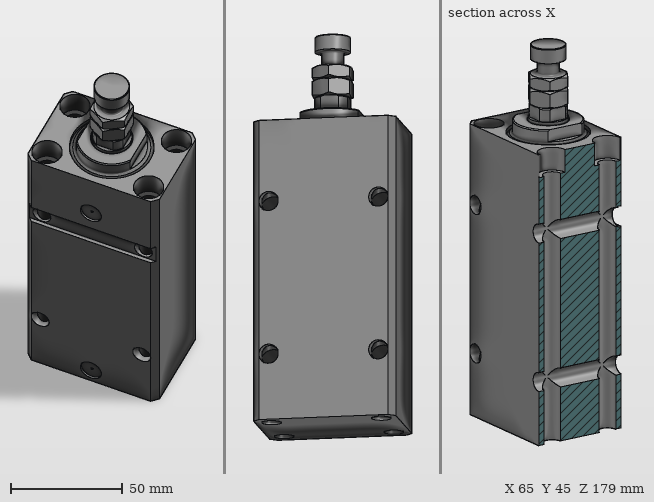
import cadquery as cq
import math

HOUSING_X = 65.0
HOUSING_Y = 45.0
HOUSING_Z = 137.5
CORNER_CHAMFER = 3.0
FRONT_Y = -HOUSING_Y / 2

HOLE_DIA = 8.8
HOLE_PITCH_X = 50.1
HOLE_PITCH_Y = 30.0
COUNTERBORE_DIA = 13.6
COUNTERBORE_DEPTH = 10.7
LOWER_CROSS_HOLE_Z = 30.0
UPPER_CROSS_HOLE_Z = 100.2

SLOT_HEIGHT = 9.7
SLOT_DEPTH = 1.8

PORT_LEVELS = (7.2, 115.3)
PORT_DIA = 10.4
PORT_DEPTH = 1.0
ORIFICE_DIA = 1.0
ORIFICE_DEPTH = 7.2

RECESS_DEPTH = 10.7
RECESS_FLOOR = HOUSING_Z - RECESS_DEPTH
SHOULDER_DIA = 38.0
SHOULDER_CHAMFER = 1.5
SHOULDER_TOP = HOUSING_Z - 0.4
GLAND_DIA = 32.2
GLAND_ROOT_FILLET = 0.5
GLAND_EDGE_CHAMFER = 0.5
GLAND_TOP = 143.5
GLAND_FLATS = 26.5
GLAND_FLATS_BOTTOM = HOUSING_Z + 0.5
BORE_EDGE_CHAMFER = 0.45

ROD_DIA = 18.3
SHAFT_TOP = 144.8
SQUARE_FLATS = 15.0
SQUARE_CORNER_DIA = 17.2
SQUARE_EDGE_CHAMFER = 0.5
ROD_TOP = 151.0

STUD_DIA = 10.0
STUD_BOTTOM = ROD_TOP - STUD_DIA
HEX_FLATS = 17.0
HEX_CORNERS = HEX_FLATS / math.cos(math.pi / 6)
HEX_FACE_DIA = 16.1
HEX_CHAMFER_ANGLE = 30
LOWER_HEX_TOP = ROD_TOP + 8.0
UPPER_HEX_TOP = LOWER_HEX_TOP + 6.0
NECK_FILLET = 1.0
HEAD_DIA = 16.1
HEAD_BOTTOM = 172.2
HEAD_EDGE_CHAMFER = 0.4
STUD_TOP = 179.0


def cylinder(dia, bottom, top):
    return cq.Workplane("XY", origin=(0, 0, bottom)).circle(dia / 2).extrude(top - bottom)


def block(size_x, size_y, bottom, top):
    return cq.Workplane("XY", origin=(0, 0, bottom)).rect(size_x, size_y).extrude(top - bottom)


def turn(profile):
    """Close a profile drawn in the XZ plane and revolve it about the Z axis."""
    return profile.close().revolve(360, (0, 0, 0), (0, 1, 0))


def front_hole(x, z, dia, depth):
    """Drill that enters the front face at (x, z) and runs toward +Y."""
    return cq.Workplane("XZ", origin=(x, FRONT_Y, z)).circle(dia / 2).extrude(-depth)


def make_housing():
    body = block(HOUSING_X, HOUSING_Y, 0, HOUSING_Z).edges("|Z").chamfer(CORNER_CHAMFER)

    body = (
        body.faces(">Z")
        .workplane(origin=(0, 0, HOUSING_Z))
        .rarray(HOLE_PITCH_X, HOLE_PITCH_Y, 2, 2)
        .cboreHole(HOLE_DIA, COUNTERBORE_DIA, COUNTERBORE_DEPTH)
    )

    for z in (LOWER_CROSS_HOLE_Z, UPPER_CROSS_HOLE_Z):
        for x in (-HOLE_PITCH_X / 2, HOLE_PITCH_X / 2):
            body = body.cut(front_hole(x, z, HOLE_DIA, HOUSING_Y))

    slot = cq.Workplane("XY").box(HOUSING_X, 2 * SLOT_DEPTH, SLOT_HEIGHT)
    body = body.cut(slot.translate((0, FRONT_Y, UPPER_CROSS_HOLE_Z)))

    for z in PORT_LEVELS:
        body = body.cut(front_hole(0, z, PORT_DIA, PORT_DEPTH))
        body = body.cut(front_hole(0, z, ORIFICE_DIA, ORIFICE_DEPTH))

    return body.cut(cylinder(SHOULDER_DIA, RECESS_FLOOR, HOUSING_Z))


def make_gland():
    shoulder_radius = SHOULDER_DIA / 2
    outer_radius = GLAND_DIA / 2
    bore_radius = ROD_DIA / 2
    ring = turn(
        cq.Workplane("XZ")
        .moveTo(bore_radius, RECESS_FLOOR)
        .lineTo(shoulder_radius, RECESS_FLOOR)
        .lineTo(shoulder_radius, SHOULDER_TOP - SHOULDER_CHAMFER)
        .lineTo(shoulder_radius - SHOULDER_CHAMFER, SHOULDER_TOP)
        .lineTo(outer_radius + GLAND_ROOT_FILLET, SHOULDER_TOP)
        .radiusArc((outer_radius, SHOULDER_TOP + GLAND_ROOT_FILLET), GLAND_ROOT_FILLET)
        .lineTo(outer_radius, GLAND_TOP - GLAND_EDGE_CHAMFER)
        .lineTo(outer_radius - GLAND_EDGE_CHAMFER, GLAND_TOP)
        .lineTo(bore_radius + BORE_EDGE_CHAMFER, GLAND_TOP)
        .lineTo(bore_radius, GLAND_TOP - BORE_EDGE_CHAMFER)
    )
    around = block(SHOULDER_DIA, SHOULDER_DIA, GLAND_FLATS_BOTTOM, GLAND_TOP)
    between = block(GLAND_FLATS, SHOULDER_DIA, GLAND_FLATS_BOTTOM, GLAND_TOP)
    return ring.cut(around.cut(between))


def make_rod():
    shaft = cylinder(ROD_DIA, RECESS_FLOOR, SHAFT_TOP)
    turned = cylinder(SQUARE_CORNER_DIA, SHAFT_TOP, ROD_TOP).faces(">Z").chamfer(SQUARE_EDGE_CHAMFER)
    square = block(SQUARE_FLATS, SQUARE_FLATS, SHAFT_TOP, ROD_TOP).intersect(turned)
    return shaft.union(square).cut(cylinder(STUD_DIA, STUD_BOTTOM, ROD_TOP))


def hexagon(bottom, top):
    """Hexagon with flats facing +X and -X, and both ends chamfered by a cone."""
    prism = (
        cq.Workplane("XY", origin=(0, 0, bottom))
        .transformed(rotate=(0, 0, 90))
        .polygon(6, HEX_CORNERS)
        .extrude(top - bottom)
    )
    face_radius = HEX_FACE_DIA / 2
    corner_radius = HEX_CORNERS / 2
    chamfer_height = (corner_radius - face_radius) * math.tan(math.radians(HEX_CHAMFER_ANGLE))
    turned = turn(
        cq.Workplane("XZ")
        .moveTo(0, bottom)
        .lineTo(face_radius, bottom)
        .lineTo(corner_radius, bottom + chamfer_height)
        .lineTo(corner_radius, top - chamfer_height)
        .lineTo(face_radius, top)
        .lineTo(0, top)
    )
    return prism.intersect(turned)


def make_stud():
    """Stud with a filleted neck; its lower hexagon rests on the end of the rod."""
    shank = cylinder(STUD_DIA, STUD_BOTTOM, ROD_TOP)
    neck_radius = STUD_DIA / 2
    head_radius = HEAD_DIA / 2
    neck_and_head = turn(
        cq.Workplane("XZ")
        .moveTo(0, UPPER_HEX_TOP)
        .lineTo(neck_radius + NECK_FILLET, UPPER_HEX_TOP)
        .radiusArc((neck_radius, UPPER_HEX_TOP + NECK_FILLET), NECK_FILLET)
        .lineTo(neck_radius, HEAD_BOTTOM - NECK_FILLET)
        .radiusArc((neck_radius + NECK_FILLET, HEAD_BOTTOM), NECK_FILLET)
        .lineTo(head_radius, HEAD_BOTTOM)
        .lineTo(head_radius, STUD_TOP - HEAD_EDGE_CHAMFER)
        .lineTo(head_radius - HEAD_EDGE_CHAMFER, STUD_TOP)
        .lineTo(0, STUD_TOP)
    )
    lower_hex = hexagon(ROD_TOP, LOWER_HEX_TOP)
    upper_hex = hexagon(LOWER_HEX_TOP, UPPER_HEX_TOP)
    return shank.union(lower_hex).union(upper_hex).union(neck_and_head)


housing = make_housing().solids()
gland = make_gland().solids()
rod = make_rod().solids()
stud = make_stud().solids()

result = cq.Compound.makeCompound([housing.val(), gland.val(), rod.val(), stud.val()])